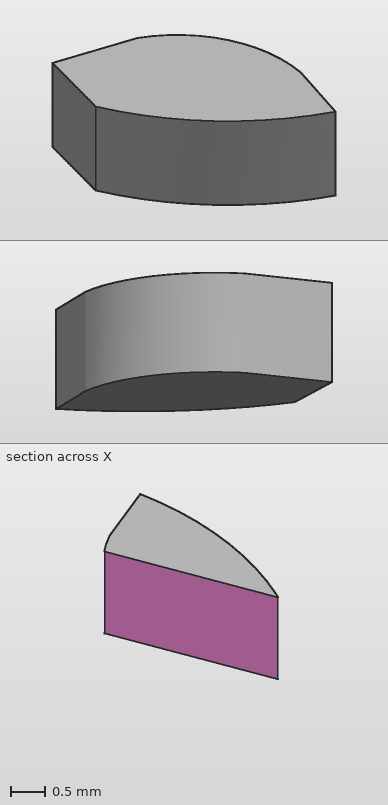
import cadquery as cq

width = 2.98
depth = 3.12
height = 1.5

left_edge_length = 1.39
top_edge_length = 1.117
bottom_edge_run = 1.273
bottom_edge_rise = 0.06

left_arc_middle = (0.665, 2.565)
right_arc_middle = (2.377, 1.415)

left_arc_start = (0, left_edge_length)
left_arc_end = (width - top_edge_length, depth)
tip = (width, depth)
bottom_right_corner = (bottom_edge_run, bottom_edge_rise)

outline = (
    cq.Workplane("XY")
    .moveTo(0, 0)
    .lineTo(*left_arc_start)
    .threePointArc(left_arc_middle, left_arc_end)
    .lineTo(*tip)
    .threePointArc(right_arc_middle, bottom_right_corner)
    .close()
)

result = outline.extrude(height)